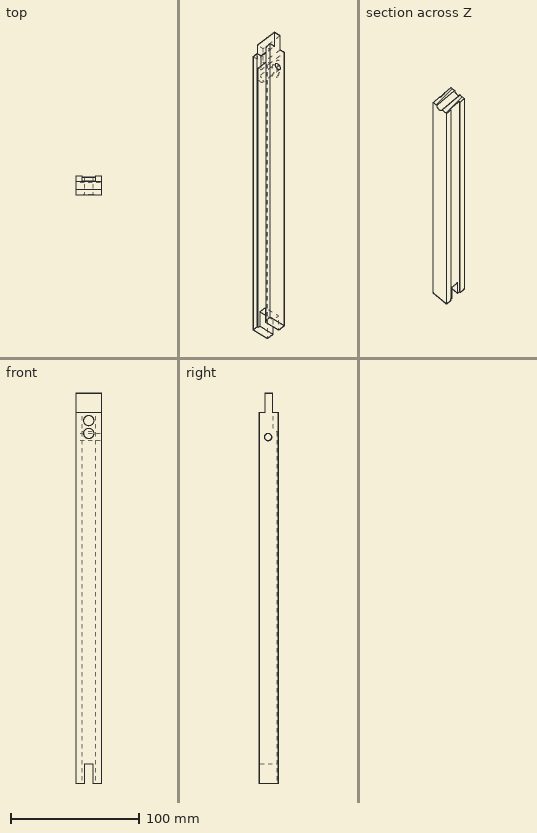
import cadquery as cq

width = 20.0
depth = 15.0
total_height = 305.0

tongue_length = 15.0
tongue_thickness = 6.0
joint_clearance = 0.2
slot_length = tongue_length + joint_clearance
slot_width = tongue_thickness + 2 * joint_clearance
body_height = total_height - tongue_length

recess_count = 2
recess_diameter = 8.0
recess_depth = 0.3
recess_spacing = 10.0
upper_recess_below_shoulder = 6.4

groove_width = 10.2
groove_depth = 1.0

pocket_depth = 4.0
pocket_length = 15.0

cross_hole_diameter = 5.5
cross_hole_y = -groove_depth / 2
cross_hole_below_shoulder = 19.25


def make_bar():
    body = cq.Workplane("XY").box(width, depth, body_height, centered=(True, True, False))
    tongue = cq.Workplane("XY").box(
        width, tongue_thickness, total_height, centered=(True, True, False)
    )
    return body.union(tongue)


def make_bottom_slot():
    return cq.Workplane("XY").box(
        slot_width, depth, slot_length, centered=(True, True, False)
    )


def make_front_recess(index):
    center_z = body_height - upper_recess_below_shoulder - index * recess_spacing
    return (
        cq.Workplane("XZ", origin=(0, -depth / 2, center_z))
        .circle(recess_diameter / 2)
        .extrude(-recess_depth)
    )


def make_cross_hole():
    center_z = body_height - cross_hole_below_shoulder
    return (
        cq.Workplane("YZ", origin=(0, cross_hole_y, center_z))
        .circle(cross_hole_diameter / 2)
        .extrude(width / 2, both=True)
    )


def make_back_channel(channel_depth, bottom_z):
    return cq.Workplane("XY", origin=(0, depth / 2 - channel_depth / 2, bottom_z)).box(
        groove_width, channel_depth, body_height - bottom_z, centered=(True, True, False)
    )


result = make_bar().cut(make_bottom_slot()).cut(make_cross_hole())
result = result.cut(make_back_channel(groove_depth, 0))
result = result.cut(make_back_channel(pocket_depth, body_height - pocket_length))
for recess_index in range(recess_count):
    result = result.cut(make_front_recess(recess_index))